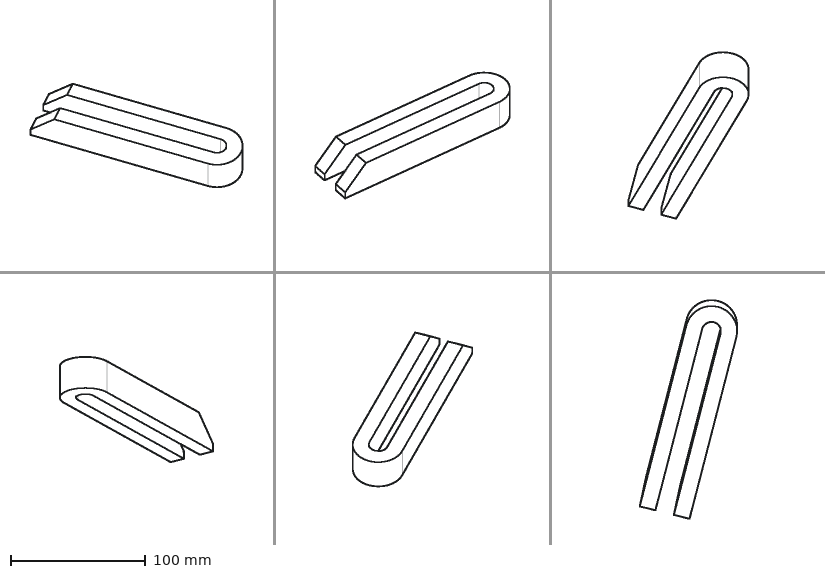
import cadquery as cq

length = 160.0
width = 38.0
height = 25.0
arm_thickness = 12.0
bevel_size = 19.0

outer_radius = width / 2
inner_radius = outer_radius - arm_thickness
tip_x = outer_radius - length


def round_ended_bar(radius):
    """Bar from the open end to a half-round end about the origin."""
    return (
        cq.Workplane("XY")
        .moveTo(tip_x, -radius)
        .lineTo(0, -radius)
        .threePointArc((radius, 0), (0, radius))
        .lineTo(tip_x, radius)
        .close()
        .extrude(height)
    )


def tip_bevel():
    """Triangular wedge removed from the top of both arm tips."""
    return (
        cq.Workplane("XZ")
        .moveTo(tip_x, height)
        .lineTo(tip_x + bevel_size, height)
        .lineTo(tip_x, height - bevel_size)
        .close()
        .extrude(outer_radius, both=True)
    )


result = round_ended_bar(outer_radius).cut(round_ended_bar(inner_radius)).cut(tip_bevel())